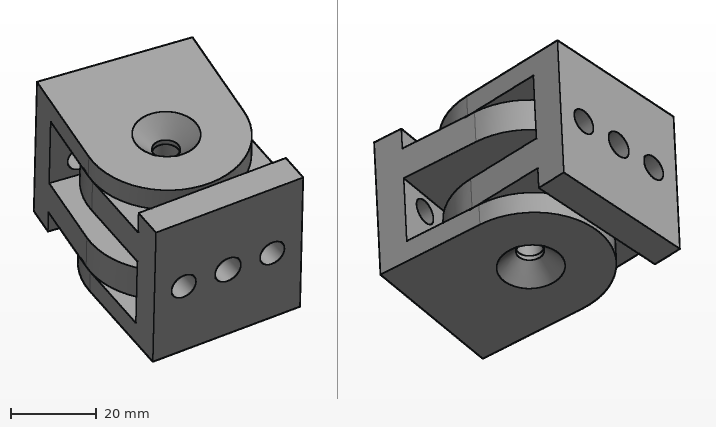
import cadquery as cq

leaf_width = 40.0
leaf_height = leaf_width
outer_knuckle = 6.0
inner_knuckle = 9.0
plate_thickness = 8.0
knuckle_clearance = 1.0
barrel_radius = leaf_width / 2
plate_inner_face = barrel_radius + knuckle_clearance
plate_outer_face = plate_inner_face + plate_thickness

pin_hole_diameter = 6.6
countersink_diameter = 16.0
countersink_angle = 90
middle_screw_diameter = 7.0
side_screw_diameter = 6.6
screw_spacing = 12.0

swing_angle = 174
tilt_about_y = 3.1
tilt_about_x = 0.6


def knuckle(bottom, height):
    """Arm from the plate to the axis, with a half-round end."""
    return (
        cq.Workplane("XY", origin=(0, 0, bottom))
        .moveTo(plate_outer_face, -barrel_radius)
        .lineTo(0, -barrel_radius)
        .threePointArc((-barrel_radius, 0), (0, barrel_radius))
        .lineTo(plate_outer_face, barrel_radius)
        .close()
        .extrude(height)
    )


def plate():
    """Full-height mounting plate with a row of three screw holes."""
    body = cq.Workplane("XY", origin=(plate_inner_face, 0, 0)).box(
        plate_thickness, leaf_width, leaf_height, centered=(False, True, False)
    )
    for offset, diameter in (
        (-screw_spacing, side_screw_diameter),
        (0, middle_screw_diameter),
        (screw_spacing, side_screw_diameter),
    ):
        hole = (
            cq.Workplane("YZ", origin=(plate_inner_face, offset, leaf_height / 2))
            .circle(diameter / 2)
            .extrude(plate_thickness)
        )
        body = body.cut(hole)
    return body


def leaf():
    """Leaf with a countersunk knuckle at the bottom and a plain knuckle above the middle gap."""
    upper_bottom = leaf_height - outer_knuckle - inner_knuckle
    lower = (
        knuckle(0, outer_knuckle)
        .faces("<Z")
        .workplane(origin=(0, 0, 0))
        .cskHole(pin_hole_diameter, countersink_diameter, countersink_angle)
    )
    upper = (
        knuckle(upper_bottom, inner_knuckle)
        .faces(">Z")
        .workplane(origin=(0, 0, 0))
        .hole(pin_hole_diameter)
    )
    return plate().union(lower).union(upper)


def pose(body):
    """Tilt a leaf from the hinge frame into its final attitude."""
    leaned = body.rotate((0, 0, 0), (0, 1, 0), tilt_about_y)
    return leaned.rotate((0, 0, 0), (1, 0, 0), tilt_about_x)


def fixed_leaf():
    """Leaf that lies along +X."""
    return pose(leaf())


def moving_leaf():
    """The same leaf turned upside down and swung round the hinge axis."""
    flipped = leaf().rotate((0, 0, 0), (1, 0, 0), 180).translate((0, 0, leaf_height))
    return pose(flipped.rotate((0, 0, 0), (0, 0, 1), swing_angle))


result = cq.Compound.makeCompound([fixed_leaf().solids().val(), moving_leaf().solids().val()])